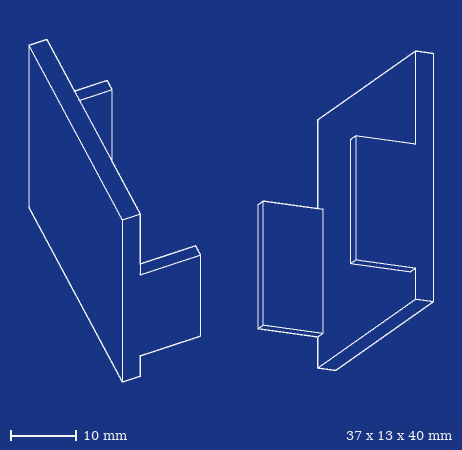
import cadquery as cq

plate_width = 37.0
plate_thickness = 3.0
plate_height = 40.0

tab_thickness = 2.0
tab_reach = 10.0
tab_height = 20.0
tab_bottom = 5.0


def corner_box(width, depth, height):
    """Box with its lowest corner at the origin."""
    return cq.Workplane("XY").box(width, depth, height, centered=False)


def side_tab(left):
    """Tab whose left face is at X = left, rooted on the plate's back face."""
    tab = corner_box(tab_thickness, tab_reach, tab_height)
    return tab.translate((left, plate_thickness, tab_bottom))


result = corner_box(plate_width, plate_thickness, plate_height)
for tab_left in (0, plate_width - tab_thickness):
    result = result.union(side_tab(tab_left))